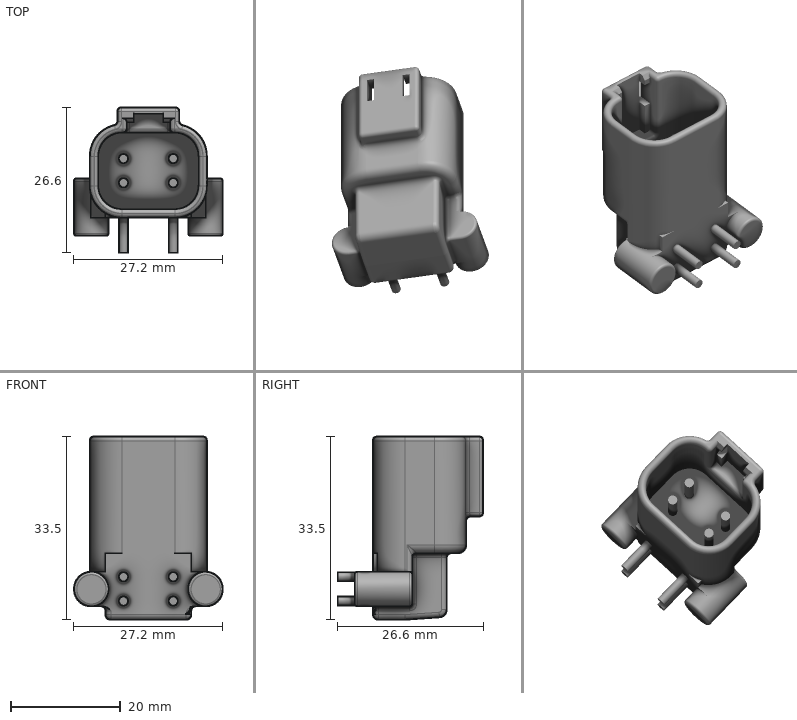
import cadquery as cq

overall_depth = 26.57

top_z = 33.46
shell_half_width = 10.7
shell_depth = 17.05
shell_corner = 5.85
wall = 1.55
shoulder_z = 12.13
shoulder_round = 1.6
rim_round = 0.75
blend = 0.75
cavity_floor_z = shoulder_z + wall
cavity_back = shell_depth - wall

latch_half_width = 5.66
latch_back = 20.12
latch_bottom_z = 18.84
latch_round = 0.75
latch_blend = 0.75
slot_half_width = 3.95
slot_back = 18.95
latch_floor = 1.5
slot_floor_z = latch_bottom_z + latch_floor
slot_floor_round = 0.5

stop_inner_x = 2.7
stop_front = 17.43
rib_top_z = 26.75
hook_bottom_z = 31.6
hook_chamfer_y = 0.67
hook_chamfer_z = 0.8
stop_embed = 0.8

foot_half_width = 7.86
foot_depth = 13.5
foot_round = 1.0
foot_back_round = 1.5
foot_slope_start = 5.85
foot_slope_rise = 0.53

post_x = 10.42
post_z = 5.62
post_radius = 3.17
post_front = -3.35
post_back = 7.17
post_round = 0.5
web_bottom_z = post_z - post_radius
web_top_z = post_z + post_radius
web_half_width = 10.47
column_back_round = 1.0

pin_diameter = 1.68
pin_x = 4.54
pin_pitch = 4.42
pin_low_z = 3.43
pin_near_y = 6.35
pin_front = latch_back - overall_depth
pin_height = 9.0

MARGIN = 0.05


def block(half_width, y_front, y_back, z_bottom, z_top):
    """Box centred on X between the given Y and Z limits."""
    size = (2 * half_width, y_back - y_front, z_top - z_bottom)
    return cq.Workplane("XY").box(*size, centered=(True, False, False)).translate((0, y_front, z_bottom))


def edges_within(solid, low, high):
    """Edges lying wholly inside the box between two corner points."""
    return solid.edges(cq.selectors.BoxSelector(low, high, boundingbox=True))


def make_shell():
    """Rounded upright body with its underside edge rounded."""
    shell = block(shell_half_width, 0, shell_depth, shoulder_z, top_z).edges("|Z").fillet(shell_corner)
    return shell.faces("<Z").edges().fillet(shoulder_round)


def make_column():
    """Front part of the shell carried down to the web between the posts."""
    column = block(shell_half_width, 0, post_back, post_z, shoulder_z + 2 * shoulder_round)
    column = column.edges("|Z").edges("<Y").fillet(shell_corner)
    return column.edges("|Z").edges(">Y").fillet(column_back_round)


def make_web():
    """Plate that carries the posts, with a flat pad rising to the shoulder."""
    web = block(web_half_width, 0, post_back, web_bottom_z, web_top_z)
    web = web.edges("|X").edges(">Y").edges("<Z").fillet(post_round)
    pad = block(foot_half_width, 0, post_back / 2, post_z, shoulder_z)
    return web.union(pad)


def make_foot():
    """Foot with a flat front underside that slopes up towards the back."""
    foot = (
        cq.Workplane("YZ")
        .lineTo(foot_slope_start, 0)
        .lineTo(foot_depth, foot_slope_rise)
        .lineTo(foot_depth, shoulder_z)
        .lineTo(0, shoulder_z)
        .close()
        .extrude(foot_half_width, both=True)
    )
    foot = foot.edges("|X").edges(">Y").edges("<Z").fillet(foot_back_round)
    upright = foot.edges("|Z")
    underside_ends = foot.faces("|X").edges("not(|Z)").edges("not(>Z)")
    underside_front = foot.edges("|X").edges("<Z").edges("<Y")
    return upright.add(underside_ends).add(underside_front).fillet(foot_round)


def blend_foot(lower_body):
    """Concave fillet running along the web underside, round its back edge and up the column."""
    reach = foot_half_width + MARGIN
    web_underside = edges_within(
        lower_body,
        (-reach, -MARGIN, web_bottom_z - MARGIN),
        (reach, post_back + MARGIN, web_bottom_z + MARGIN),
    )
    return web_underside.fillet(blend)


def blend_shoulder(body):
    """Concave fillet where the foot and column meet the underside of the shell."""
    shoulder = edges_within(
        body,
        (-shell_half_width, post_back - MARGIN, shoulder_z - MARGIN),
        (shell_half_width, foot_depth + MARGIN, shoulder_z + MARGIN),
    )
    return shoulder.fillet(blend)


def add_latch_housing(body):
    """Box on the back of the shell, rounded outside and blended into the shell."""
    latch = block(latch_half_width, shell_depth / 2, latch_back, latch_bottom_z, top_z)
    latch = latch.edges("|Z").edges(">Y").fillet(latch_round)
    latch = latch.faces("<Z").edges("not(<Y)").fillet(latch_round)
    body = body.union(latch)
    seam_start = shell_depth - latch_round
    seam = edges_within(
        body,
        (-latch_half_width - MARGIN, seam_start, latch_bottom_z - MARGIN),
        (latch_half_width + MARGIN, shell_depth + MARGIN, top_z + MARGIN),
    )
    return seam.edges("not(>Z)").fillet(latch_blend)


def cut_socket(body):
    """Cavity open at the top and the latch slot behind it, with rounded rims."""
    cavity = block(shell_half_width - wall, wall, cavity_back, cavity_floor_z, top_z)
    cavity = cavity.edges("|Z").fillet(shell_corner - wall)
    slot = block(slot_half_width, shell_depth / 2, slot_back, slot_floor_z, top_z)
    slot = slot.edges("|Y").edges("<Z").fillet(slot_floor_round)
    body = body.cut(cavity).cut(slot)
    mouth = edges_within(
        body,
        (-slot_half_width - MARGIN, cavity_back - MARGIN, slot_floor_z - MARGIN),
        (slot_half_width + MARGIN, cavity_back + MARGIN, top_z + MARGIN),
    )
    slot_end = edges_within(
        body,
        (-slot_half_width - MARGIN, slot_back - MARGIN, top_z - MARGIN),
        (slot_half_width + MARGIN, slot_back + MARGIN, top_z + MARGIN),
    ).val()
    rims = [edge for edge in body.faces(">Z").edges().vals() if not edge.isSame(slot_end)]
    return mouth.add(body.newObject(rims)).fillet(rim_round)


def side_prism(profile, x_start, x_length):
    """Prism along X from a closed list of (Y, Z) points."""
    return cq.Workplane("YZ", origin=(x_start, 0, 0)).polyline(profile).close().extrude(x_length)


def add_latch_stops(body):
    """Rib and hook in each back corner of the slot, with an open window between them."""
    slot_corner_width = slot_half_width - stop_inner_x
    rib_profile = [
        (stop_front, slot_floor_z - MARGIN),
        (slot_back + MARGIN, slot_floor_z - MARGIN),
        (slot_back + MARGIN, rib_top_z),
        (stop_front, rib_top_z),
    ]
    hook_profile = [
        (stop_front, hook_bottom_z),
        (stop_front, top_z - hook_chamfer_z),
        (stop_front + hook_chamfer_y, top_z),
        (slot_back + MARGIN, top_z),
        (slot_back + MARGIN, hook_bottom_z),
    ]
    window_profile = [
        (stop_front, rib_top_z),
        (latch_back + MARGIN, rib_top_z),
        (latch_back + MARGIN, hook_bottom_z),
        (stop_front, hook_bottom_z),
    ]
    for side in (-1, 1):
        inner_x = side * stop_inner_x
        stop_width = side * (slot_corner_width + stop_embed)
        body = body.union(side_prism(rib_profile, inner_x, stop_width))
        body = body.union(side_prism(hook_profile, inner_x, stop_width))
        body = body.cut(side_prism(window_profile, inner_x, side * slot_corner_width))
    return body


def make_post(x):
    """Round mounting post along Y with rounded ends."""
    length = post_back - post_front
    post = cq.Workplane("XZ", origin=(x, post_back, post_z)).circle(post_radius).extrude(length)
    return post.faces("|Y").edges().fillet(post_round)


def add_pins(body):
    """Contacts standing in the cavity and tails leaving the mounting face."""
    radius = pin_diameter / 2
    for x in (-pin_x, pin_x):
        for row in range(2):
            y = pin_near_y + row * pin_pitch
            z = pin_low_z + row * pin_pitch
            contact = cq.Workplane("XY", origin=(x, y, cavity_floor_z - MARGIN)).circle(radius)
            tail = cq.Workplane("XZ", origin=(x, MARGIN, z)).circle(radius)
            body = body.union(contact.extrude(pin_height + MARGIN)).union(tail.extrude(MARGIN - pin_front))
    return body


lower_body = blend_foot(make_column().union(make_web()).union(make_foot()))
body = blend_shoulder(make_shell().union(lower_body))
body = add_latch_housing(body)
body = cut_socket(body)
body = add_latch_stops(body)
for x in (-post_x, post_x):
    body = body.union(make_post(x))
result = add_pins(body)